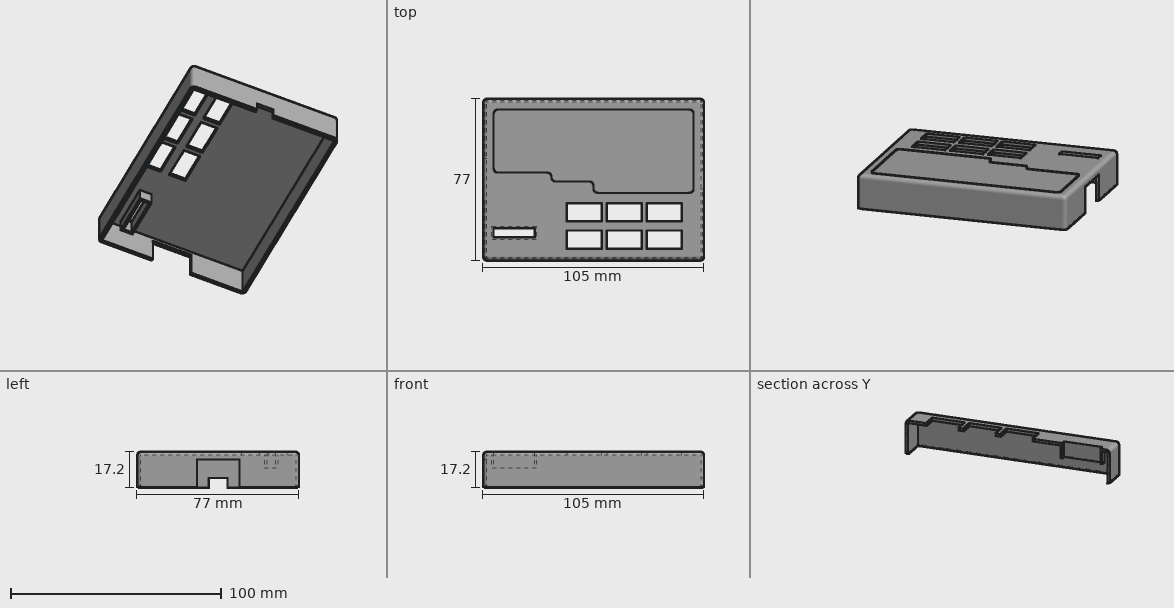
import cadquery as cq

length = 105.0
width = 77.0
height = 17.2
wall = 1.6
edge_radius = 2.1

lip_height = 0.4
lip_inset = 0.9

left_notch_width = 20.3
left_notch_height = 13.4
right_notch_width = 8.7
right_notch_height = 4.6

label_depth = 0.3
label_radius = 2.0
label_side_x = 47.5
label_back_y = 33.3
label_step_x = (-20.1, -0.1)
label_front_y = (3.4, -0.8, -6.2)

window_length = 16.5
window_width = 8.5
window_pitch_x = 19.0
window_pitch_y = 13.0
window_columns = 3
window_rows = 2
window_center_x = 14.5
window_center_y = -21.9

slot_length = 19.4
slot_width = 4.2
slot_center_x = -label_side_x + slot_length / 2
slot_center_y = -25.2
sleeve_wall = 1.0
sleeve_depth = 6.3

ceiling_z = height - wall


def box(size_x, size_y, bottom_z, top_z, x=0.0, y=0.0):
    """Upright block centred on (x, y) between two heights."""
    block = cq.Workplane("XY").box(size_x, size_y, top_z - bottom_z, centered=(True, True, False))
    return block.translate((x, y, bottom_z))


def make_shell():
    """Rounded tray, open below, with a lip stepped in from its outer faces."""
    body = box(length, width, lip_height, height)
    body = body.edges("|Z or >Z").fillet(edge_radius)
    lip = box(length - 2 * lip_inset, width - 2 * lip_inset, 0, lip_height)
    lip = lip.edges("|Z").fillet(edge_radius - lip_inset)
    cavity = box(length - 2 * wall, width - 2 * wall, 0, ceiling_z)
    return body.union(lip).cut(cavity)


def make_end_notch(side, notch_width, notch_height):
    """Cutter for a notch through one end wall; side is -1 or +1 along X."""
    return box(2 * wall, notch_width, 0, notch_height, x=side * length / 2)


def make_label_recess():
    """Cutter for the shallow label area, whose front edge steps down twice."""
    step_1, step_2 = label_step_x
    front_1, front_2, front_3 = label_front_y
    outline = [
        (-label_side_x, label_back_y),
        (label_side_x, label_back_y),
        (label_side_x, front_3),
        (step_2, front_3),
        (step_2, front_2),
        (step_1, front_2),
        (step_1, front_1),
        (-label_side_x, front_1),
    ]
    recess = cq.Workplane("XY").workplane(offset=height - label_depth).polyline(outline).close()
    return recess.extrude(label_depth).edges("|Z").fillet(label_radius)


def make_windows():
    """Cutter for the grid of button windows."""
    grid = cq.Workplane("XY").workplane(offset=ceiling_z).center(window_center_x, window_center_y)
    grid = grid.rarray(window_pitch_x, window_pitch_y, window_columns, window_rows)
    return grid.rect(window_length, window_width).extrude(wall)


def make_slot_prism(margin, top_z):
    """Slot-shaped prism from the sleeve's lower end up to a height, widened by a margin all round."""
    return box(
        slot_length + 2 * margin,
        slot_width + 2 * margin,
        ceiling_z - sleeve_depth,
        top_z,
        x=slot_center_x,
        y=slot_center_y,
    )


result = (
    make_shell()
    .union(make_slot_prism(sleeve_wall, ceiling_z))
    .cut(make_slot_prism(0.0, height))
    .cut(make_end_notch(-1, left_notch_width, left_notch_height))
    .cut(make_end_notch(1, right_notch_width, right_notch_height))
    .cut(make_label_recess())
    .cut(make_windows())
)